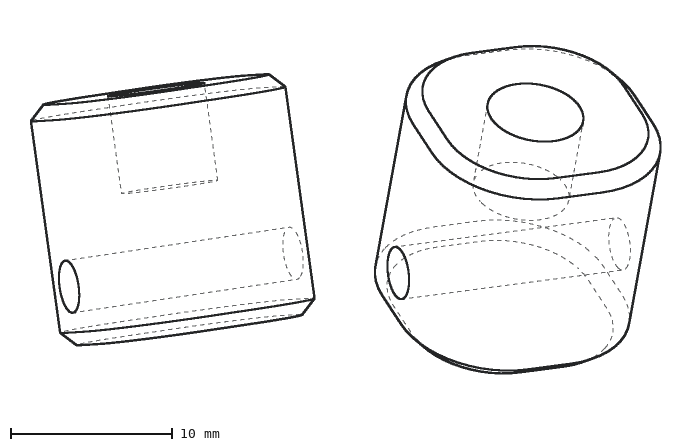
import cadquery as cq

side = 15.0
corner_radius = 6.0
chamfer = 0.9
bore_diameter = 6.0
bore_depth = 6.08
pin_diameter = 3.25
pin_height = 3.74
tilt = 20.7


def rounded_block():
    """Square block, centred at the origin, with rounded and bevelled edges."""
    block = cq.Workplane("XY").box(side, side, side)
    block = block.edges("|Z").fillet(corner_radius)
    return block.faces("<Z or >Z").chamfer(chamfer)


def blind_bore():
    """Flat-bottomed bore going down from the upper end face."""
    top = cq.Workplane("XY").workplane(offset=side / 2)
    return top.circle(bore_diameter / 2).extrude(-bore_depth)


def cross_hole():
    """Pin hole through the full depth of the block near its lower end."""
    plane = cq.Workplane("XZ").center(0, pin_height - side / 2)
    return plane.circle(pin_diameter / 2).extrude(side, both=True)


upright = rounded_block().cut(blind_bore()).cut(cross_hole())

result = upright.rotate((0, 0, 0), (0, 1, 0), -tilt)